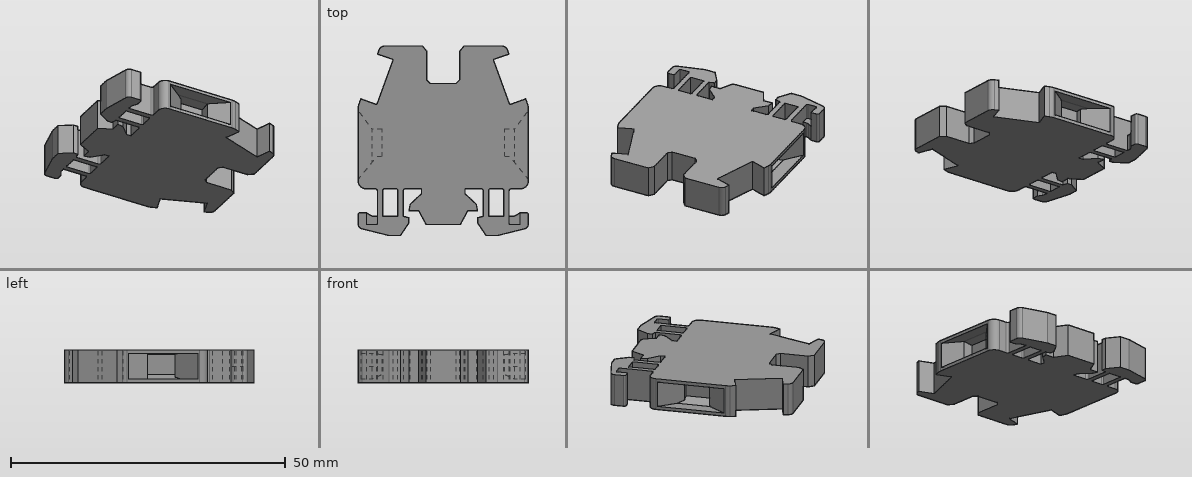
import cadquery as cq
import math


width = 31.0
height = 34.5
thickness = 6.0
half_width = width / 2

body_bottom = 8.5
body_corner_radius = 1.45
shoulder_tip = (15.0, 24.9)
shoulder_radius = 2.4

notch_angle = math.radians(20)
notch_inner_corner = (12.1, 23.85)
notch_length = 8.7
head_tip = (11.98, 33.0)
head_radius = 1.1

slot_half_width = 3.0
slot_floor = 27.7
slot_floor_chamfer = 0.65
slot_lead_in_width = 0.75
slot_lead_in_depth = 0.95

neck_half_width = 4.0
neck_bottom = 7.6
barb_top = (6.03, 5.7)
barb_half_width = 6.26
barb_bottom = 4.5
barb_inner_half_width = 4.47
rail_foot_half_width = 3.12
rail_foot_bottom = 2.0

leg_inner_face = 7.27
leg_thickness = 1.03
leg_outer_face = 12.0
leg_root_radius = 0.4
window_corner_radius = 0.25

foot_top = 3.53
hook_half_gap = 6.25
hook_top = 3.25
hook_bottom = 2.3
foot_flat_inner = 7.78
foot_flat_outer = 9.9
foot_outer_corner = 1.4
foot_outer_radius = 0.9
lip_inner_face = 14.0
lip_top = 4.2
lip_radius = 0.4
channel_floor = 2.0
channel_corner_radius = 0.2

web_thickness = thickness / 2
web_ramp_foot = 12.95
web_ramp_radius = 1.0

entry_low = 10.2
entry_high = 22.8
entry_margin = 0.64
throat_low = 14.4
throat_high = 19.4
throat_bottom = 1.52
throat_top = 5.1
funnel_high_depth = 2.5
funnel_low_depth = 3.4
entry_depth = 4.4


def prism(points, depth):
    return cq.Workplane("XY").polyline(points).close().extrude(depth)


def round_corner(solid, corner, radius):
    """Round the Z-parallel edge that stands on the given XY corner."""
    x, y = corner
    reach = 0.05
    box = cq.selectors.BoxSelector(
        (x - reach, y - reach, -thickness),
        (x + reach, y + reach, 2 * thickness),
    )
    return solid.edges("|Z").edges(box).fillet(radius)


def half_housing():
    """Right half of the housing plate, including legs and clip foot."""
    shoulder_drop = (half_width - shoulder_tip[0]) / math.tan(notch_angle)
    shoulder = (half_width, shoulder_tip[1] - shoulder_drop)
    notch_top = (
        notch_inner_corner[0] - notch_length * math.sin(notch_angle),
        notch_inner_corner[1] + notch_length * math.cos(notch_angle),
    )
    head_corner = (head_tip[0] - (height - head_tip[1]) * math.tan(notch_angle), height)
    body_corner = (half_width, body_bottom)
    inner_leg_root = (leg_inner_face, body_bottom)
    outer_leg_root = (leg_outer_face, body_bottom)
    channel_inner = (leg_outer_face, channel_floor)
    channel_outer = (lip_inner_face, channel_floor)
    lip_corner = (half_width, lip_top)
    foot_corner = (half_width, foot_outer_corner)

    outline = [
        (0, rail_foot_bottom),
        (rail_foot_half_width, rail_foot_bottom),
        (barb_inner_half_width, barb_bottom),
        (barb_half_width, barb_bottom),
        barb_top,
        (neck_half_width, neck_bottom),
        (neck_half_width, body_bottom),
        inner_leg_root,
        (leg_inner_face, foot_top),
        (hook_half_gap, hook_top),
        (hook_half_gap, hook_bottom),
        (foot_flat_inner, 0),
        (foot_flat_outer, 0),
        foot_corner,
        lip_corner,
        (lip_inner_face, lip_top),
        channel_outer,
        channel_inner,
        outer_leg_root,
        body_corner,
        shoulder,
        shoulder_tip,
        notch_inner_corner,
        notch_top,
        head_tip,
        head_corner,
        (slot_half_width + slot_lead_in_width, height),
        (slot_half_width, height - slot_lead_in_depth),
        (slot_half_width, slot_floor + slot_floor_chamfer),
        (slot_half_width - slot_floor_chamfer, slot_floor),
        (0, slot_floor),
    ]
    rounded_corners = [
        (inner_leg_root, leg_root_radius),
        (outer_leg_root, leg_root_radius),
        (foot_corner, foot_outer_radius),
        (lip_corner, lip_radius),
        (channel_inner, channel_corner_radius),
        (channel_outer, channel_corner_radius),
        (body_corner, body_corner_radius),
        (shoulder, shoulder_radius),
        (head_corner, head_radius),
    ]
    plate = prism(outline, thickness)
    for corner, radius in rounded_corners:
        plate = round_corner(plate, corner, radius)
    return plate


def leg_window():
    """Opening between the two spring legs, rounded at the body end."""
    left = leg_inner_face + leg_thickness
    right = leg_outer_face - leg_thickness
    window = prism(
        [(left, foot_top), (right, foot_top), (right, body_bottom), (left, body_bottom)],
        thickness,
    )
    for x in (left, right):
        window = round_corner(window, (x, body_bottom), window_corner_radius)
    return window


def channel_web():
    """Half-thickness web in the channel, ramping up to the lip.

    It reaches into the leg, the lip and the foot so that it also fills
    the rounded channel corners.
    """
    overlap = channel_corner_radius
    ramp_foot = (web_ramp_foot, foot_top)
    web = prism(
        [
            (leg_outer_face - overlap, channel_floor - overlap),
            (lip_inner_face + overlap, channel_floor - overlap),
            (lip_inner_face + overlap, lip_top),
            (lip_inner_face, lip_top),
            ramp_foot,
            (leg_outer_face - overlap, foot_top),
        ],
        web_thickness,
    )
    return round_corner(web, ramp_foot, web_ramp_radius)


def wire_entry():
    """Funnel whose XY and XZ outlines both narrow towards the throat."""
    high_end = half_width - funnel_high_depth
    low_end = half_width - funnel_low_depth
    end = half_width - entry_depth
    plan = prism(
        [
            (half_width, entry_low),
            (half_width, entry_high),
            (high_end, throat_high),
            (end, throat_high),
            (end, throat_low),
            (low_end, throat_low),
        ],
        thickness,
    )
    elevation = (
        cq.Workplane("XZ")
        .polyline(
            [
                (half_width, entry_margin),
                (high_end, entry_margin),
                (end, throat_bottom),
                (end, throat_top),
                (high_end, thickness - entry_margin),
                (half_width, thickness - entry_margin),
            ]
        )
        .close()
        .extrude(-height)
    )
    return plan.intersect(elevation)


half = half_housing().cut(leg_window()).union(channel_web()).cut(wire_entry())
result = half.union(half.mirror("YZ")).clean()